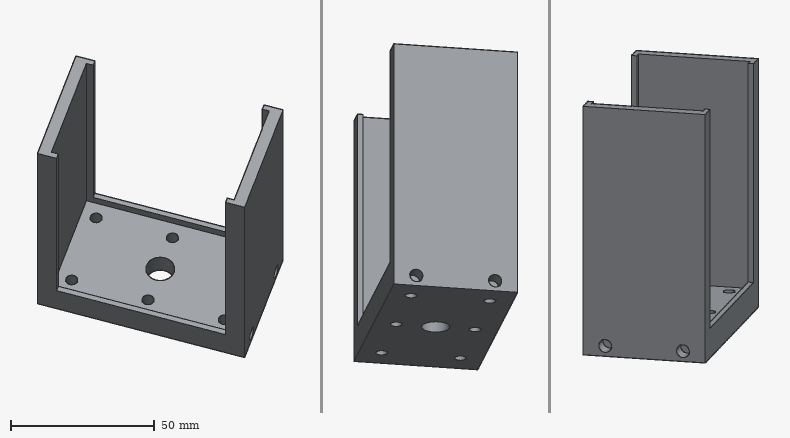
import cadquery as cq

length = 76.0
width = 44.0
height = 90.0

side_wall = 7.0
base_height = 10.8
recess_end_wall = 4.5
lip_thickness = 2.0
lip_height = 3.0

hole_pitch = 28.0
screw_hole_diameter = 4.1
center_hole_diameter = 10.0
side_hole_diameter = 4.6
side_hole_height = 3.8
side_hole_depth = 6.0

opening_length = length - 2 * side_wall
recess_length = length - 2 * recess_end_wall
recess_width = width - 2 * lip_thickness
floor_height = base_height - lip_height


def cavity(size_x, size_y, bottom):
    """Box centred on the Z axis, open upwards from the given height."""
    return (
        cq.Workplane("XY")
        .workplane(offset=bottom)
        .rect(size_x, size_y)
        .extrude(height - bottom)
    )


def base_holes():
    """Central hole and a 3 x 2 grid of screw holes through the base."""
    center = cq.Workplane("XY").circle(center_hole_diameter / 2).extrude(base_height)
    screws = (
        cq.Workplane("XY")
        .rarray(hole_pitch, hole_pitch, 3, 2)
        .circle(screw_hole_diameter / 2)
        .extrude(base_height)
    )
    return center.union(screws)


def side_holes():
    """Pair of blind holes running into the base from each end face."""
    left_pair = (
        cq.Workplane("YZ", origin=(-length / 2, 0, side_hole_height))
        .rarray(hole_pitch, 0.9, 2, 1)
        .circle(side_hole_diameter / 2)
        .extrude(side_hole_depth)
    )
    return left_pair.union(left_pair.mirror("YZ"))


block = cq.Workplane("XY").box(length, width, height, centered=(True, True, False))
result = (
    block.cut(cavity(opening_length, width, base_height))
    .cut(cavity(recess_length, recess_width, floor_height))
    .cut(base_holes())
    .cut(side_holes())
)